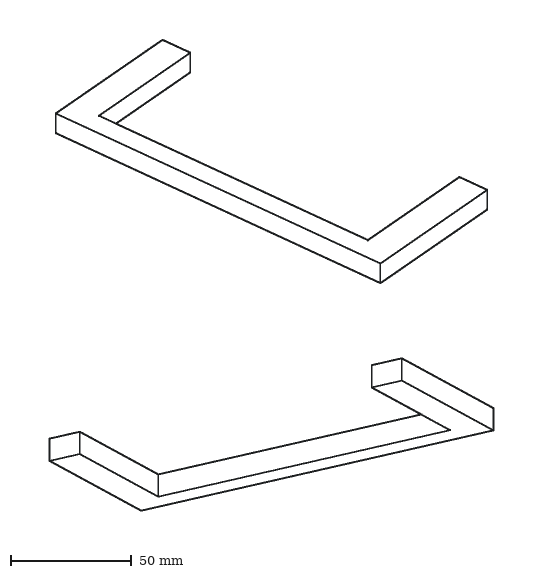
import cadquery as cq

length = 174.0
depth = 70.0
thickness = 10.0
leg_width = 15.0
bar_width = 10.1

opening_length = length - 2 * leg_width
opening_depth = depth - bar_width

plate = cq.Workplane("XY").box(length, depth, thickness, centered=(True, False, False))

opening = (
    cq.Workplane("XY")
    .box(opening_length, opening_depth, thickness, centered=(True, False, False))
    .translate((0, bar_width, 0))
)

result = plate.cut(opening)